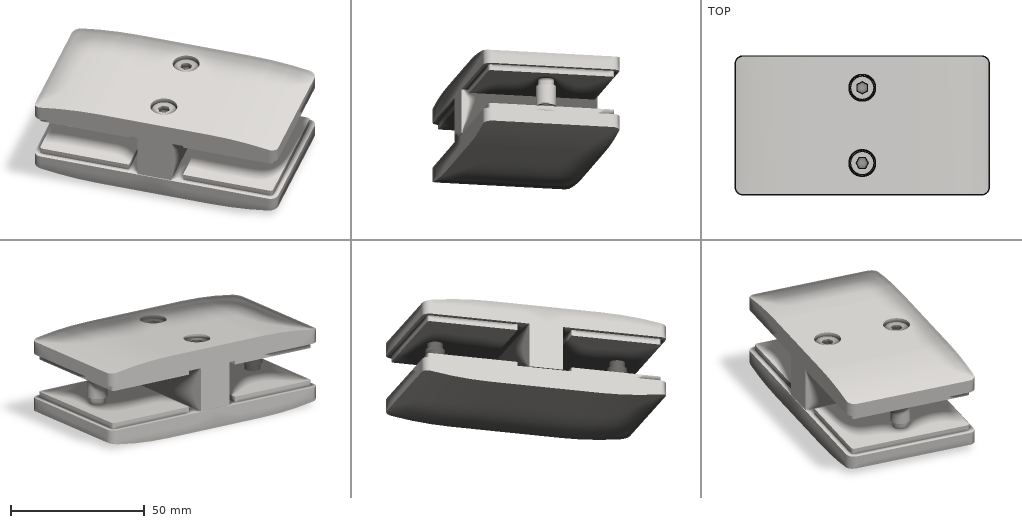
import cadquery as cq
import math

LENGTH = 95.0
WIDTH = 52.0
HEIGHT = 32.0
HALF_HEIGHT = HEIGHT / 2

PLATE_THICKNESS = 7.4
PLATE_END_THICKNESS = 5.0
FLAT_LENGTH = 43.1
PLATE_CORNER_RADIUS = 3.0
INNER_FACE = HALF_HEIGHT - PLATE_THICKNESS

WEB_LENGTH = 13.1
WEB_CLEARANCE = 0.3

PAD_MARGIN = 2.0
PAD_LENGTH = 35.0
PAD_WIDTH = WIDTH - 2 * PAD_MARGIN
PAD_THICKNESS = 2.3
PAD_CORNER_RADIUS = PLATE_CORNER_RADIUS - PAD_MARGIN

PIN_X = 35.5
PIN_DIAMETER = 5.9
PIN_LENGTH = 2 * INNER_FACE
COLLAR_DIAMETER = 7.4
COLLAR_LENGTH = 7.6

SCREW_SPACING = 28.1
COUNTERBORE_DIAMETER = 10.1
HEAD_DIAMETER = 9.6
HEAD_CHAMFER = 0.5
HEAD_SINK = 1.2
HEAD_HEIGHT = 5.0
HEAD_TOP = HALF_HEIGHT - HEAD_SINK
HEAD_SEAT = HEAD_TOP - HEAD_HEIGHT
SHANK_DIAMETER = 5.0
SHANK_DEPTH_IN_LOWER_PLATE = 4.75
SHANK_END = -INNER_FACE - SHANK_DEPTH_IN_LOWER_PLATE
HEX_ACROSS_FLATS = 4.0
HEX_DEPTH = 2.0

SCREW_PLACES = [(SCREW_SPACING / 2, 30), (-SCREW_SPACING / 2, 0)]


def cylinder(diameter, bottom, top, x=0, y=0):
    """Upright cylinder between two heights."""
    return cq.Workplane("XY", origin=(x, y, bottom)).circle(diameter / 2).extrude(top - bottom)


def crowned_plate():
    """Plate above the mid-plane, with end arcs tangent to its flat top."""
    end_top = INNER_FACE + PLATE_END_THICKNESS
    drop = HALF_HEIGHT - end_top
    run = (LENGTH - FLAT_LENGTH) / 2
    radius = (run**2 + drop**2) / (2 * drop)
    half_angle = math.asin(run / radius) / 2
    arc_x = FLAT_LENGTH / 2 + radius * math.sin(half_angle)
    arc_z = HALF_HEIGHT - radius * (1 - math.cos(half_angle))
    return (
        cq.Workplane("XZ")
        .moveTo(-LENGTH / 2, INNER_FACE)
        .lineTo(LENGTH / 2, INNER_FACE)
        .lineTo(LENGTH / 2, end_top)
        .threePointArc((arc_x, arc_z), (FLAT_LENGTH / 2, HALF_HEIGHT))
        .lineTo(-FLAT_LENGTH / 2, HALF_HEIGHT)
        .threePointArc((-arc_x, arc_z), (-LENGTH / 2, end_top))
        .close()
        .extrude(WIDTH / 2, both=True)
        .edges("|Z")
        .fillet(PLATE_CORNER_RADIUS)
    )


def collared_pin():
    """Pin at the +X end of the upper plate."""
    pin = cylinder(PIN_DIAMETER, -PIN_LENGTH / 2, PIN_LENGTH / 2, x=PIN_X)
    collar = cylinder(COLLAR_DIAMETER, -COLLAR_LENGTH / 2, COLLAR_LENGTH / 2, x=PIN_X)
    return pin.union(collar)


def make_upper_plate():
    """Crowned plate with its web, two pins and counterbored screw holes."""
    web_bottom = -INNER_FACE + WEB_CLEARANCE
    web = (
        cq.Workplane("XY", origin=(0, 0, web_bottom))
        .rect(WEB_LENGTH, WIDTH)
        .extrude(INNER_FACE - web_bottom)
    )
    plate = crowned_plate().union(web)
    for turn in (0, 180):
        plate = plate.union(collared_pin().rotate((0, 0, 0), (0, 0, 1), turn))
    for y, _ in SCREW_PLACES:
        plate = plate.cut(cylinder(SHANK_DIAMETER, web_bottom, HEAD_SEAT, y=y))
        plate = plate.cut(cylinder(COUNTERBORE_DIAMETER, HEAD_SEAT, HALF_HEIGHT, y=y))
    return plate


def make_lower_plate():
    """Crowned plate turned upside down, with blind holes for the screw ends."""
    plate = crowned_plate().rotate((0, 0, 0), (1, 0, 0), 180)
    for y, _ in SCREW_PLACES:
        plate = plate.cut(cylinder(SHANK_DIAMETER, SHANK_END, -INNER_FACE, y=y))
    return plate


def make_pad(bottom, turn):
    """Clamping pad with a pin hole, built at the +X end and turned about Z."""
    pad_x = LENGTH / 2 - PAD_MARGIN - PAD_LENGTH / 2
    pad = (
        cq.Workplane("XY", origin=(pad_x, 0, bottom))
        .rect(PAD_LENGTH, PAD_WIDTH)
        .extrude(PAD_THICKNESS)
        .edges("|Z and >X")
        .fillet(PAD_CORNER_RADIUS)
        .cut(cylinder(PIN_DIAMETER, bottom, bottom + PAD_THICKNESS, x=PIN_X))
    )
    return pad.rotate((0, 0, 0), (0, 0, 1), turn)


def make_screw(y, hex_turn):
    """Cap screw with a chamfered head and a hex socket."""
    head = cylinder(HEAD_DIAMETER, HEAD_SEAT, HEAD_TOP).faces(">Z").chamfer(HEAD_CHAMFER)
    shank = cylinder(SHANK_DIAMETER, SHANK_END, HEAD_SEAT)
    hex_across_corners = HEX_ACROSS_FLATS / math.cos(math.pi / 6)
    socket = (
        cq.Workplane("XY", origin=(0, 0, HEAD_TOP))
        .polygon(6, hex_across_corners)
        .extrude(-HEX_DEPTH)
        .rotate((0, 0, 0), (0, 0, 1), hex_turn)
    )
    return head.union(shank).cut(socket).translate((0, y, 0))


upper_plate = make_upper_plate()
lower_plate = make_lower_plate()

pads = []
for pad_bottom in (INNER_FACE - PAD_THICKNESS, -INNER_FACE):
    for pad_turn in (0, 180):
        pads.append(make_pad(pad_bottom, pad_turn))

screws = [make_screw(y, hex_turn) for y, hex_turn in SCREW_PLACES]

result = cq.Compound.makeCompound(
    [upper_plate.val(), lower_plate.val()]
    + [pad.val() for pad in pads]
    + [screw.val() for screw in screws]
)